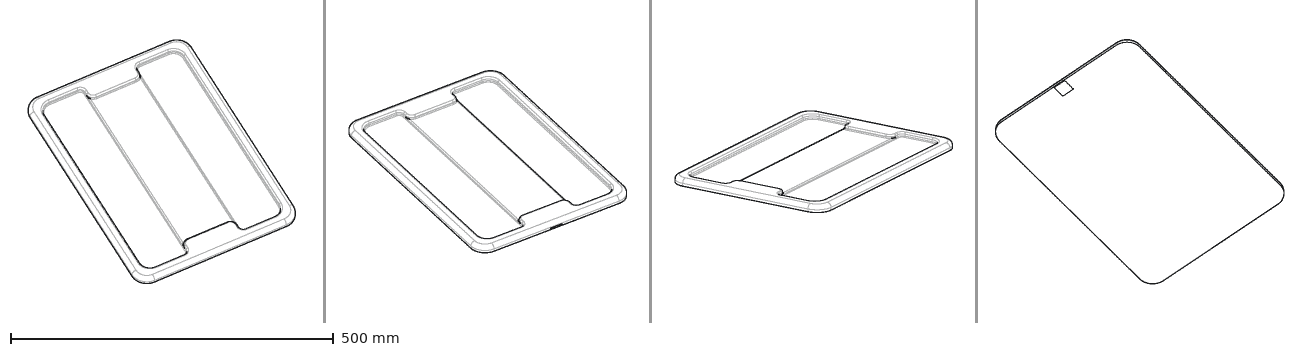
import cadquery as cq
import math

length = 394.0
width = 282.0
height = 12.0
corner_radius = 26.0
rim_fillet = 7.0
rim_width = 16.0

edge_fillet = 2.8
floor_fillet = 1.5
well_floor = 4.5
middle_floor = 6.7
well_corner = 18.0
step_corner = 8.3
flare_radius = 11.0
middle_length = 306.5
middle_width = 91.5

pad_width = 21.3
pad_length = pad_width
pad_height = 2.5
pad_wall = 1.0

wall_inset = rim_width + edge_fillet
well_length = length - 2 * wall_inset
well_outer_y = width / 2 - wall_inset
well_inner_y = middle_width / 2
well_width = well_outer_y - well_inner_y
flare_end = middle_length / 2 + flare_radius

SIDES = (-1, 1)


def well_block(side, floor):
    """Rounded plan of one well, from the given floor height to above the rim."""
    well_center_y = side * (well_inner_y + well_outer_y) / 2
    block = cq.Workplane("XY", origin=(0, well_center_y, floor)).rect(well_length, well_width).extrude(height)
    outer, inner = (">Y", "<Y") if side > 0 else ("<Y", ">Y")
    block = block.faces(outer).edges("|Z").fillet(well_corner)
    return block.faces(inner).edges("|Z").fillet(step_corner)


def middle_block(floor):
    """Plan of the middle floor, whose ends flare out tangent to the inner walls of the wells."""
    half_length = middle_length / 2
    flare_y = well_inner_y - flare_radius
    return (
        cq.Workplane("XY", origin=(0, 0, floor))
        .moveTo(-flare_end, well_inner_y)
        .lineTo(flare_end, well_inner_y)
        .radiusArc((half_length, flare_y), -flare_radius)
        .lineTo(half_length, -flare_y)
        .radiusArc((flare_end, -well_inner_y), -flare_radius)
        .lineTo(-flare_end, -well_inner_y)
        .radiusArc((-half_length, -flare_y), -flare_radius)
        .lineTo(-half_length, flare_y)
        .radiusArc((-flare_end, well_inner_y), -flare_radius)
        .close()
        .extrude(height)
    )


def round_bottom(block):
    """Round the bottom edge of a cutter, so that it leaves a floor fillet."""
    return block.faces("<Z").edges().fillet(floor_fillet)


def recess_cutter():
    """Whole recess down to the middle floor."""
    block = middle_block(middle_floor)
    for side in SIDES:
        block = block.union(well_block(side, middle_floor))
    return round_bottom(block)


def step_cutter(side):
    """Material above the rounded step from the middle floor to a well.

    The step is an S: an arc that starts level with the middle floor runs tangent
    into the floor fillet of the well.
    """
    radius_sum = edge_fillet + floor_fillet
    drop = middle_floor - well_floor
    reach = math.sqrt(radius_sum**2 - (radius_sum - drop) ** 2)
    turn = math.asin(reach / radius_sum)
    center_y = well_inner_y + floor_fillet - reach
    center_z = middle_floor - edge_fillet

    def arc_point(angle):
        y = center_y + edge_fillet * math.sin(angle)
        z = center_z + edge_fillet * math.cos(angle)
        return side * y, z

    arc_end = arc_point(turn)
    step = (
        cq.Workplane("YZ", origin=(-flare_end, 0, 0))
        .moveTo(*arc_point(0))
        .threePointArc(arc_point(turn / 2), arc_end)
        .lineTo(arc_end[0], middle_floor)
        .close()
        .extrude(2 * flare_end)
    )
    open_plan = middle_block(well_floor).union(well_block(side, well_floor))
    return step.intersect(open_plan)


def make_pad():
    """Pad, flush with the underside."""
    return cq.Workplane("XY", origin=(pad_wall - length / 2, 0, 0)).box(
        pad_length, pad_width, pad_height, centered=(False, True, False)
    )


def make_tray():
    """Rounded plate with the stepped recess in its top and a pocket for the pad below."""
    body = cq.Workplane("XY").rect(length, width).extrude(height)
    body = body.edges("|Z").fillet(corner_radius)
    body = body.faces(">Z").edges().fillet(rim_fillet)

    body = body.cut(recess_cutter())
    inside_rim = cq.selectors.BoxSelector(
        (rim_width - length / 2, rim_width - width / 2, 0),
        (length / 2 - rim_width, width / 2 - rim_width, 2 * height),
    )
    body = body.faces(">Z").edges(inside_rim).fillet(edge_fillet)

    for side in SIDES:
        well = round_bottom(well_block(side, well_floor))
        body = body.cut(well).cut(step_cutter(side))
    return body.cut(make_pad())


tray = make_tray()
pad = make_pad()

result = cq.Compound.makeCompound([tray.solids().val(), pad.val()])